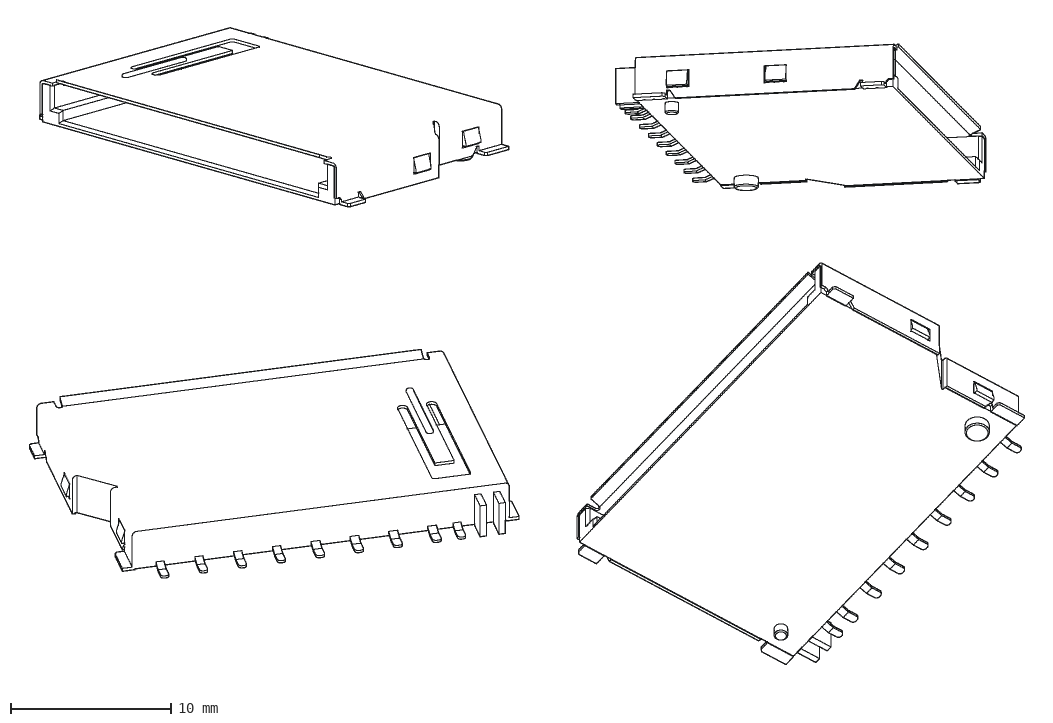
import cadquery as cq

TINY = 0.03

TAB_SPAN = 27.5
TAB_REACH = 0.63
SHELL_DEPTH = 16.5
SHELL_TOP = 2.72
SHEET = 0.2
BEND_RADIUS = 0.3
SIDE_X = TAB_SPAN / 2 - TAB_REACH
REAR_X = 11.16
CORNER_START_Y = 9.02
CORNER_END_Y = 10.9
CORNER_END_X = 10.72
REAR_WALL_Y = 11.0
ROOF_UNDERSIDE = SHELL_TOP - SHEET

LIP_HALF_WIDTH = 11.63
LIP_LENGTH = 0.7
LIP_TOP = 3.02
LIP_SLIT_WIDTH = 0.38
LIP_SLIT_LENGTH = 0.8

TONGUE_X = -9.82
TONGUE_WIDTH = 1.25
TONGUE_END_Y = 13.05
TONGUE_OPENING_WIDTH = 2.5
TONGUE_OPENING_START_Y = 5.8
TONGUE_OPENING_END_Y = 14.9
TONGUE_CORNER_RADIUS = 0.16
RIB_WIDTH = 0.47
RIB_START_Y = 4.05
RIB_END_Y = 9.55
RIB_HEIGHT = 0.16
RIB_EDGE_RADIUS = 0.1

TAB_BOTTOM = -0.05
TAB_THICKNESS = 0.22
TAB_CORNER = 0.15
FRONT_TAB_Y = (0.47, 1.95)
REAR_TAB_Y = (14.5, SHELL_DEPTH)
RELIEF_HEIGHT = 0.47
RELIEF_FLAT = 0.2
RELIEF_LENGTH = 0.55
FRONT_RELIEF_CHAMFER = 0.16

HOUSING_FRONT_Y = 0.05
CAVITY_END_Y = 8.33
CAVITY_HALF_WIDTH = 12.07
CHANNEL_HALF_WIDTH = 11.3
CARD_SHELF_Z = 1.05
CAVITY_FLOOR_Z = 0.38
ENTRY_CHAMFER = 0.2

WINDOW_LENGTH = 1.43
WINDOW_BOTTOM = 0.63
WINDOW_TOP = 1.7
FRONT_WINDOW_Y = 6.85
REAR_WINDOW_Y = 13.05
LATCH_GAP = 0.1
LATCH_REACH = 0.16
LATCH_TOP_INSET = 0.05
LATCH_BOTTOM = 0.75
LATCH_FACE_TOP = 0.94

TAIL_END_Y = 17.9
CONTACT_BOTTOM = -0.08
FOOT_THICKNESS = 0.16
FOOT_START_Y = 17.08
TAIL_RISE = 0.25
TAIL_TIP_RADIUS = 0.22
CONTACT_PITCH = 2.5
LAST_CONTACT_X = 9.38
CONTACT_COUNT = 8
NARROW_COUNT = 4
NARROW_WIDTH = 0.52
WIDE_WIDTH = 0.58
EXTRA_CONTACT_X = -9.74
SWITCH_XS = (-12.3, -11.08)
SWITCH_THICKNESS = 0.4
SWITCH_TOP = 2.17

PEG_Y = 14.52
PEG_BOTTOM = -0.65
PEG_CHAMFER = 0.08
PEGS = ((-11.52, 0.85), (9.5, 1.5))


def box(x_range, y_range, z_range):
    """Axis-aligned block between the given limits."""
    size = [high - low for low, high in (x_range, y_range, z_range)]
    corner = (x_range[0], y_range[0], z_range[0])
    return cq.Workplane("XY").box(*size, centered=False).translate(corner)


def x_range(outer_x, side, inward, outward=0.0):
    """X limits around a side wall whose outer face is at side * outer_x."""
    return tuple(sorted((side * (outer_x - inward), side * (outer_x + outward))))


def side_wall(outer_x, side, start_y, end_y):
    """Side wall with the rounded bend that joins it to the roof."""
    diagonal = 0.5 ** 0.5
    inner_radius = BEND_RADIUS - SHEET
    centre_x = outer_x - BEND_RADIUS
    centre_z = SHELL_TOP - BEND_RADIUS

    def on_bend(radius):
        return (side * (centre_x + radius * diagonal), centre_z + radius * diagonal)

    return (
        cq.Workplane("XZ", origin=(0, start_y, 0))
        .moveTo(side * outer_x, TAB_BOTTOM)
        .lineTo(side * outer_x, centre_z)
        .threePointArc(on_bend(BEND_RADIUS), (side * centre_x, SHELL_TOP))
        .lineTo(side * centre_x, ROOF_UNDERSIDE)
        .threePointArc(on_bend(inner_radius), (side * (outer_x - SHEET), centre_z))
        .lineTo(side * (outer_x - SHEET), TAB_BOTTOM)
        .close()
        .extrude(start_y - end_y)
    )


def side_prism(points, limits):
    """(y, z) outline extruded between two X limits."""
    start_x, end_x = limits
    return cq.Workplane("YZ", origin=(start_x, 0, 0)).polyline(points).close().extrude(end_x - start_x)


def relief(outer_x, side, tab_edge_y, direction):
    """Triangular gap in a wall that starts at a tab edge and runs along Y in the given direction."""
    points = [
        (tab_edge_y, TAB_BOTTOM - TINY),
        (tab_edge_y, RELIEF_HEIGHT),
        (tab_edge_y + direction * RELIEF_FLAT, RELIEF_HEIGHT),
        (tab_edge_y + direction * RELIEF_LENGTH, TAB_BOTTOM - TINY),
    ]
    return side_prism(points, x_range(outer_x, side, SHEET + TINY, TINY))


def front_relief(side):
    """Gap in a wall between the front tab and the entry edge."""
    tab_edge_y = FRONT_TAB_Y[0]
    points = [
        (-TINY, TAB_BOTTOM - TINY),
        (-TINY, RELIEF_HEIGHT),
        (tab_edge_y - FRONT_RELIEF_CHAMFER, RELIEF_HEIGHT),
        (tab_edge_y, RELIEF_HEIGHT - FRONT_RELIEF_CHAMFER),
        (tab_edge_y, TAB_BOTTOM - TINY),
    ]
    return side_prism(points, x_range(SIDE_X, side, SHEET + TINY, TINY))


def solder_tab(outer_x, side, y_range):
    """Flat tab bent outward from the foot of a wall."""
    tab = box(x_range(outer_x, side, SHEET, TAB_REACH), y_range, (TAB_BOTTOM, TAB_BOTTOM + TAB_THICKNESS))
    outer_face = ">X" if side > 0 else "<X"
    return tab.faces(outer_face).edges("<Y and |Z").chamfer(TAB_CORNER)


def lip():
    """Strip of the roof bent upward over the card entry."""
    points = [
        (0, LIP_TOP - SHEET),
        (0, LIP_TOP),
        (LIP_LENGTH, SHELL_TOP),
        (LIP_LENGTH + TINY, SHELL_TOP),
        (LIP_LENGTH + TINY, ROOF_UNDERSIDE),
        (LIP_LENGTH, ROOF_UNDERSIDE),
    ]
    return side_prism(points, (-LIP_HALF_WIDTH, LIP_HALF_WIDTH))


def lip_slit(side):
    """Round-ended slit that frees one end of the lip from the roof."""
    radius = LIP_SLIT_WIDTH / 2
    centre_x = side * (LIP_HALF_WIDTH + radius)
    return (
        cq.Workplane("XY", origin=(0, 0, ROOF_UNDERSIDE - TINY))
        .moveTo(centre_x - radius, -TINY)
        .lineTo(centre_x - radius, LIP_SLIT_LENGTH - radius)
        .threePointArc((centre_x, LIP_SLIT_LENGTH), (centre_x + radius, LIP_SLIT_LENGTH - radius))
        .lineTo(centre_x + radius, -TINY)
        .close()
        .extrude(SHEET + 2 * TINY)
    )


def tongue_opening():
    """U-shaped opening with round-ended legs on both sides of the spring tongue."""
    outer = TONGUE_OPENING_WIDTH / 2
    inner = TONGUE_WIDTH / 2
    leg_radius = (outer - inner) / 2
    leg_end_y = TONGUE_OPENING_START_Y + leg_radius
    z_range = (ROOF_UNDERSIDE - TINY, SHELL_TOP + TINY)
    opening = box((TONGUE_X - outer, TONGUE_X + outer), (leg_end_y, TONGUE_OPENING_END_Y), z_range)
    opening = opening.edges("|Z and >Y").fillet(TONGUE_CORNER_RADIUS)
    tongue = box((TONGUE_X - inner, TONGUE_X + inner), (leg_end_y - TINY, TONGUE_END_Y), z_range)
    opening = opening.cut(tongue)
    for side in (-1, 1):
        leg_end = (
            cq.Workplane("XY", origin=(TONGUE_X + side * (inner + leg_radius), leg_end_y, z_range[0]))
            .circle(leg_radius)
            .extrude(z_range[1] - z_range[0])
        )
        opening = opening.union(leg_end)
    return opening


def tongue_rib():
    """Stiffening rib pressed up along the tongue."""
    length = RIB_END_Y - RIB_START_Y
    return (
        cq.Workplane("XY", origin=(TONGUE_X, (RIB_START_Y + RIB_END_Y) / 2, SHELL_TOP - TINY))
        .slot2D(length, RIB_WIDTH, 90)
        .extrude(RIB_HEIGHT + TINY)
        .faces(">Z")
        .edges()
        .fillet(RIB_EDGE_RADIUS)
    )


def cut_corner():
    """Points of the cut rear right corner, front to back."""
    return [
        (SIDE_X - BEND_RADIUS, CORNER_START_Y),
        (CORNER_END_X, CORNER_END_Y),
        (CORNER_END_X, REAR_WALL_Y),
    ]


LATCHES = [
    (SIDE_X, -1, FRONT_WINDOW_Y, FRONT_WINDOW_Y),
    (SIDE_X, 1, FRONT_WINDOW_Y, FRONT_WINDOW_Y),
    (SIDE_X, -1, REAR_WINDOW_Y, REAR_WINDOW_Y + LATCH_GAP),
    (REAR_X, 1, REAR_WINDOW_Y, REAR_WINDOW_Y + LATCH_GAP),
]


def build_shell():
    roof_side = SIDE_X - BEND_RADIUS
    roof_rear = REAR_X - BEND_RADIUS
    outline = [
        (-roof_side, 0),
        (roof_side, 0),
        *cut_corner(),
        (roof_rear, REAR_WALL_Y),
        (roof_rear, SHELL_DEPTH),
        (-roof_side, SHELL_DEPTH),
    ]
    shell = cq.Workplane("XY", origin=(0, 0, ROOF_UNDERSIDE)).polyline(outline).close().extrude(SHEET)
    lip_clearance = box(
        (-LIP_HALF_WIDTH, LIP_HALF_WIDTH),
        (-TINY, LIP_LENGTH),
        (ROOF_UNDERSIDE - TINY, SHELL_TOP + TINY),
    )
    shell = shell.cut(lip_clearance).union(lip())
    shell = shell.union(side_wall(SIDE_X, -1, 0, SHELL_DEPTH))
    shell = shell.union(side_wall(SIDE_X, 1, 0, CORNER_START_Y))
    shell = shell.union(side_wall(REAR_X, 1, REAR_WALL_Y, SHELL_DEPTH))
    shell = shell.cut(tongue_opening()).union(tongue_rib())

    for side in (-1, 1):
        rear_x = SIDE_X if side < 0 else REAR_X
        shell = shell.cut(lip_slit(side))
        shell = shell.cut(front_relief(side))
        shell = shell.cut(relief(SIDE_X, side, FRONT_TAB_Y[1], 1))
        shell = shell.cut(relief(rear_x, side, REAR_TAB_Y[0], -1))
        shell = shell.union(solder_tab(SIDE_X, side, FRONT_TAB_Y))
        shell = shell.union(solder_tab(rear_x, side, REAR_TAB_Y))

    for outer_x, side, window_y, _ in LATCHES:
        y_range = (window_y, window_y + WINDOW_LENGTH)
        limits = x_range(outer_x, side, SHEET + TINY, TINY)
        shell = shell.cut(box(limits, y_range, (WINDOW_BOTTOM, WINDOW_TOP)))
    return shell


def cavity_section(y, margin):
    """Closed stepped section of the card cavity at the given Y, grown by a margin at its sides and floor."""
    half_width = CAVITY_HALF_WIDTH + margin
    half_channel = CHANNEL_HALF_WIDTH + margin
    shelf_z = CARD_SHELF_Z - margin
    floor_z = CAVITY_FLOOR_Z - margin
    points = [
        (-half_width, ROOF_UNDERSIDE),
        (-half_width, shelf_z),
        (-half_channel, shelf_z),
        (-half_channel, floor_z),
        (half_channel, floor_z),
        (half_channel, shelf_z),
        (half_width, shelf_z),
        (half_width, ROOF_UNDERSIDE),
    ]
    return cq.Workplane("XZ", origin=(0, y, 0)).polyline(points).close()


def cavity():
    """Card cavity with a flared entry."""
    straight = cavity_section(HOUSING_FRONT_Y, 0).extrude(HOUSING_FRONT_Y - CAVITY_END_Y)
    wide_wire = cavity_section(HOUSING_FRONT_Y, ENTRY_CHAMFER).val()
    narrow_wire = cavity_section(HOUSING_FRONT_Y + ENTRY_CHAMFER, 0).val()
    flare = cq.Workplane(cq.Solid.makeLoft([wide_wire, narrow_wire], True))
    return straight.union(flare)


def latch(outer_x, side, start_y):
    """Snap wedge inside a wall window, sloping out to stand proud of the wall."""
    root_x = side * (outer_x - SHEET - TINY)
    tip_x = side * (outer_x + LATCH_REACH)
    points = [
        (root_x, LATCH_BOTTOM),
        (tip_x, LATCH_BOTTOM),
        (tip_x, LATCH_FACE_TOP),
        (side * (outer_x - LATCH_TOP_INSET), WINDOW_TOP),
        (root_x, WINDOW_TOP),
    ]
    length = WINDOW_LENGTH - LATCH_GAP
    return cq.Workplane("XZ", origin=(0, start_y, 0)).polyline(points).close().extrude(-length)


def peg(x, diameter):
    """Locating peg under the housing."""
    return (
        cq.Workplane("XY", origin=(x, PEG_Y, PEG_BOTTOM))
        .circle(diameter / 2)
        .extrude(TINY - PEG_BOTTOM)
        .faces("<Z")
        .chamfer(PEG_CHAMFER)
    )


def build_housing():
    inner_side = SIDE_X - SHEET
    inner_rear = REAR_X - SHEET
    outline = [
        (-inner_side, HOUSING_FRONT_Y),
        (inner_side, HOUSING_FRONT_Y),
        (inner_side, CORNER_START_Y),
        *cut_corner(),
        (inner_rear, REAR_WALL_Y),
        (inner_rear, SHELL_DEPTH),
        (-inner_side, SHELL_DEPTH),
    ]
    housing = cq.Workplane("XY").polyline(outline).close().extrude(ROOF_UNDERSIDE).cut(cavity())
    for outer_x, side, _, latch_y in LATCHES:
        housing = housing.union(latch(outer_x, side, latch_y))
    for x, diameter in PEGS:
        housing = housing.union(peg(x, diameter))
    return housing


def contact_tail(x, width):
    """Solder tail that slopes down from the housing to a flat foot with a rounded tip."""
    foot_top = CONTACT_BOTTOM + FOOT_THICKNESS
    points = [
        (SHELL_DEPTH - TINY, CONTACT_BOTTOM + TAIL_RISE),
        (FOOT_START_Y, CONTACT_BOTTOM),
        (TAIL_END_Y, CONTACT_BOTTOM),
        (TAIL_END_Y, foot_top),
        (FOOT_START_Y, foot_top),
        (SHELL_DEPTH - TINY, foot_top + TAIL_RISE),
    ]
    tail = side_prism(points, (x - width / 2, x + width / 2))
    return tail.edges("|Z and >Y").fillet(TAIL_TIP_RADIUS)


def build_contacts():
    contacts = contact_tail(EXTRA_CONTACT_X, NARROW_WIDTH)
    for index in range(CONTACT_COUNT):
        width = NARROW_WIDTH if index < NARROW_COUNT else WIDE_WIDTH
        contacts = contacts.union(contact_tail(LAST_CONTACT_X - index * CONTACT_PITCH, width))
    for x in SWITCH_XS:
        limits = (x - SWITCH_THICKNESS / 2, x + SWITCH_THICKNESS / 2)
        plate = box(limits, (SHELL_DEPTH - TINY, TAIL_END_Y), (CONTACT_BOTTOM, SWITCH_TOP))
        contacts = contacts.union(plate)
    return contacts


result = build_shell().union(build_housing()).union(build_contacts())